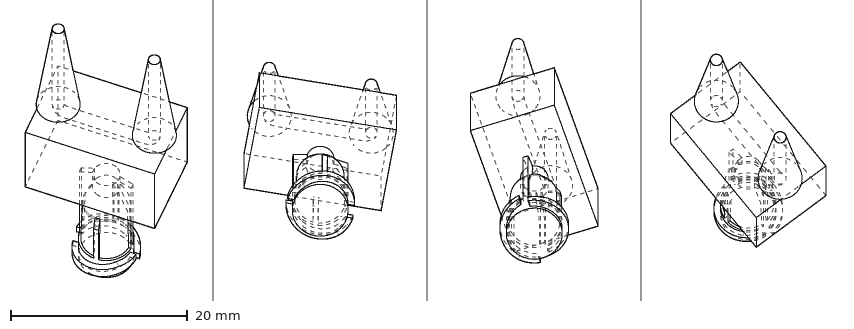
import cadquery as cq

total_height = 40.5
block_bottom = 15.47
block_top = 25.95

block_length = 15.75
block_width = 10.0
bend_radius = 1.0

tip_base_diameter = 5.0
tip_end_diameter = 1.38
tip_bore_diameter = 1.35
tip_spacing = 11.7
tip_height = total_height - block_top

collar_radius = 3.15
collar_top = 3.3
barrel_bottom_radius = 2.88
barrel_top_radius = 2.7
barrel_top = 10.13
shoulder_bottom_radius = 2.67
shoulder_bottom = 10.4
neck_radius = 1.56
neck_bottom = 13.2

rib_thickness = 0.6
long_rib_shoulder = 14.8
short_rib_shoulder = 8.9

thread_radius = 3.9
thread_bottom = 0.55
thread_top = 2.8
thread_thickness = 1.35
thread_pitch = 3.73
thread_end_offset = 0.53
thread_root_overlap = 0.2


def make_block():
    """Rectangular block with a channel that bends down from each tip and joins at the middle."""
    block = (
        cq.Workplane("XY", origin=(0, 0, block_bottom))
        .rect(block_length, block_width)
        .extrude(block_top - block_bottom)
    )
    for side in (-1, 1):
        tip_x = side * tip_spacing / 2
        path = (
            cq.Workplane("XZ", origin=(tip_x, 0, block_top))
            .radiusArc((-side * bend_radius, -bend_radius), side * bend_radius)
            .lineTo(-tip_x, -bend_radius)
        )
        channel = cq.Workplane("XY", origin=(tip_x, 0, block_top)).circle(tip_bore_diameter / 2).sweep(path)
        block = block.cut(channel)
    return block


def make_tip(x_position):
    """Truncated cone standing on the block, with a straight bore along its axis."""
    bore_radius = tip_bore_diameter / 2
    profile = [
        (bore_radius, 0),
        (tip_base_diameter / 2, 0),
        (tip_end_diameter / 2, tip_height),
        (bore_radius, tip_height),
    ]
    tip = cq.Workplane("XZ").polyline(profile).close().revolve(360, (0, 0), (0, 1))
    return tip.translate((x_position, 0, block_top))


def make_connector_core():
    """Collar, tapered barrel, conical shoulder and neck."""
    profile = [
        (0, 0),
        (collar_radius, 0),
        (collar_radius, collar_top),
        (barrel_bottom_radius, collar_top),
        (barrel_top_radius, barrel_top),
        (shoulder_bottom_radius, shoulder_bottom),
        (neck_radius, neck_bottom),
        (neck_radius, block_bottom),
        (0, block_bottom),
    ]
    return cq.Workplane("XZ").polyline(profile).close().revolve(360, (0, 0), (0, 1))


def make_rib_pair(plane, shoulder_height, top_radius, top_height):
    """One plate through the axis that forms two opposite ribs with sloping tops."""
    profile = [
        (-collar_radius, collar_top),
        (collar_radius, collar_top),
        (collar_radius, shoulder_height),
        (top_radius, top_height),
        (-top_radius, top_height),
        (-collar_radius, shoulder_height),
    ]
    plate = cq.Workplane(plane).polyline(profile).close().extrude(rib_thickness / 2, both=True)
    outer_cylinder = cq.Workplane("XY").circle(collar_radius).extrude(block_bottom)
    return plate.intersect(outer_cylinder)


def make_thread_lug():
    """Half-turn helical band on the -Y side, with flat run-outs at its bottom and top."""
    middle_height = (thread_bottom + thread_top) / 2
    root_radius = collar_radius - thread_root_overlap
    section_start = root_radius - thread_root_overlap
    section_end = thread_radius + thread_root_overlap
    path = cq.Wire.makeHelix(thread_pitch, thread_pitch / 2, collar_radius)
    section = (
        cq.Workplane("XZ")
        .center((section_start + section_end) / 2, 0)
        .rect(section_end - section_start, thread_thickness)
    )
    band = section.sweep(cq.Workplane(obj=path), isFrenet=True)
    band = band.rotate((0, 0, 0), (0, 0, 1), 180).translate((0, 0, middle_height - thread_pitch / 4))
    ring = (
        cq.Workplane("XY", origin=(0, 0, thread_bottom))
        .circle(thread_radius)
        .circle(root_radius)
        .extrude(thread_top - thread_bottom)
    )
    front_side = (
        cq.Workplane("XY")
        .center(0, -thread_end_offset - thread_radius / 2)
        .rect(2 * thread_radius, thread_radius)
        .extrude(collar_top)
    )
    return ring.intersect(front_side).intersect(band)


def make_connector():
    """Ribbed connector with two thread lugs half a turn apart."""
    connector = make_connector_core()
    connector = connector.union(make_rib_pair("XZ", long_rib_shoulder, neck_radius, block_bottom))
    connector = connector.union(make_rib_pair("YZ", short_rib_shoulder, shoulder_bottom_radius, shoulder_bottom))
    lug = make_thread_lug()
    for angle in (0, 180):
        connector = connector.union(lug.rotate((0, 0, 0), (0, 0, 1), angle))
    return connector


block = make_block()
tips = [make_tip(side * tip_spacing / 2) for side in (-1, 1)]
connector = make_connector()

result = cq.Compound.makeCompound([block.val(), *[tip.val() for tip in tips], connector.val()])